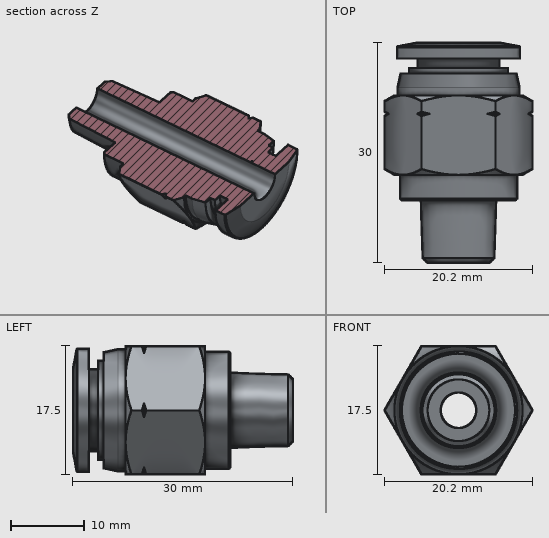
import cadquery as cq
import math


OVERALL_LENGTH = 30.0
THREAD_LENGTH = 8.5
COLLAR_LENGTH = 3.5
HEX_LENGTH = 10.8
BODY_BAND_LENGTH = 1.05
BODY_TAPER_LENGTH = 1.95
STEP_LENGTH = 0.75
NECK_LENGTH = 1.25

COLLAR_END = THREAD_LENGTH + COLLAR_LENGTH
HEX_END = COLLAR_END + HEX_LENGTH
BAND_END = HEX_END + BODY_BAND_LENGTH
TAPER_END = BAND_END + BODY_TAPER_LENGTH
STEP_END = TAPER_END + STEP_LENGTH
NECK_END = STEP_END + NECK_LENGTH

BORE_DIAMETER = 4.8
TIP_DIAMETER = 8.4
THREAD_SMALL_DIAMETER = 9.8
THREAD_LARGE_DIAMETER = 10.3
COLLAR_DIAMETER = 16.0
BODY_DIAMETER = 16.65
BODY_TAPER_DIAMETER = 15.8
STEP_DIAMETER = 13.5
NECK_DIAMETER = 11.2
BUTTON_DIAMETER = 16.8
BUTTON_FACE_DIAMETER = 11.2

TIP_CHAMFER_LENGTH = 0.7
COLLAR_CHAMFER = 0.3
BUTTON_CROWN_HEIGHT = 0.5
BUTTON_EDGE_CHAMFER = 0.15

HEX_ACROSS_FLATS = 17.46
HEX_CORNER_RADIUS = HEX_ACROSS_FLATS / math.sqrt(3)
HEX_CHAMFER_ANGLE = 30.0
ENVELOPE_MARGIN = 1.0

GROOVE_FROM_HEX_END = 2.5
GROOVE_DEPTH = 0.5
GROOVE_HALF_WIDTH = 0.29


def revolve_about_y(profile):
    """Turn a closed (radius, y) profile about the Y axis."""
    return cq.Workplane("XY").polyline(profile).close().revolve(360, (0, 0, 0), (0, 1, 0))


def make_turned_body():
    """All the round sections, from the tapered thread to the release button."""
    return revolve_about_y([
        (0, 0),
        (TIP_DIAMETER / 2, 0),
        (THREAD_SMALL_DIAMETER / 2, TIP_CHAMFER_LENGTH),
        (THREAD_LARGE_DIAMETER / 2, THREAD_LENGTH),
        (COLLAR_DIAMETER / 2 - COLLAR_CHAMFER, THREAD_LENGTH),
        (COLLAR_DIAMETER / 2, THREAD_LENGTH + COLLAR_CHAMFER),
        (COLLAR_DIAMETER / 2, COLLAR_END),
        (BODY_DIAMETER / 2, COLLAR_END),
        (BODY_DIAMETER / 2, BAND_END),
        (BODY_TAPER_DIAMETER / 2, TAPER_END),
        (STEP_DIAMETER / 2, TAPER_END),
        (STEP_DIAMETER / 2, STEP_END),
        (NECK_DIAMETER / 2, STEP_END),
        (NECK_DIAMETER / 2, NECK_END),
        (BUTTON_DIAMETER / 2, NECK_END),
        (BUTTON_DIAMETER / 2, OVERALL_LENGTH - BUTTON_CROWN_HEIGHT - BUTTON_EDGE_CHAMFER),
        (BUTTON_DIAMETER / 2 - BUTTON_EDGE_CHAMFER, OVERALL_LENGTH - BUTTON_CROWN_HEIGHT),
        (BUTTON_FACE_DIAMETER / 2, OVERALL_LENGTH),
        (0, OVERALL_LENGTH),
    ])


def make_hex():
    """Hexagon with conical chamfers at both ends and a V-groove across its corners."""
    prism = (
        cq.Workplane("XZ", origin=(0, HEX_END, 0))
        .polygon(6, 2 * HEX_CORNER_RADIUS)
        .extrude(HEX_LENGTH)
    )
    flat_radius = HEX_ACROSS_FLATS / 2
    outer_radius = HEX_CORNER_RADIUS + ENVELOPE_MARGIN
    chamfer_length = (outer_radius - flat_radius) * math.tan(math.radians(HEX_CHAMFER_ANGLE))
    groove_y = HEX_END - GROOVE_FROM_HEX_END
    groove_mouth = GROOVE_HALF_WIDTH * (GROOVE_DEPTH + ENVELOPE_MARGIN) / GROOVE_DEPTH
    envelope = revolve_about_y([
        (0, COLLAR_END),
        (flat_radius, COLLAR_END),
        (outer_radius, COLLAR_END + chamfer_length),
        (outer_radius, groove_y - groove_mouth),
        (HEX_CORNER_RADIUS - GROOVE_DEPTH, groove_y),
        (outer_radius, groove_y + groove_mouth),
        (outer_radius, HEX_END - chamfer_length),
        (flat_radius, HEX_END),
        (0, HEX_END),
    ])
    return prism.intersect(envelope)


def make_bore():
    """Straight passage through the whole length."""
    return cq.Workplane("XZ").circle(BORE_DIAMETER / 2).extrude(-OVERALL_LENGTH)


result = make_turned_body().union(make_hex()).cut(make_bore())